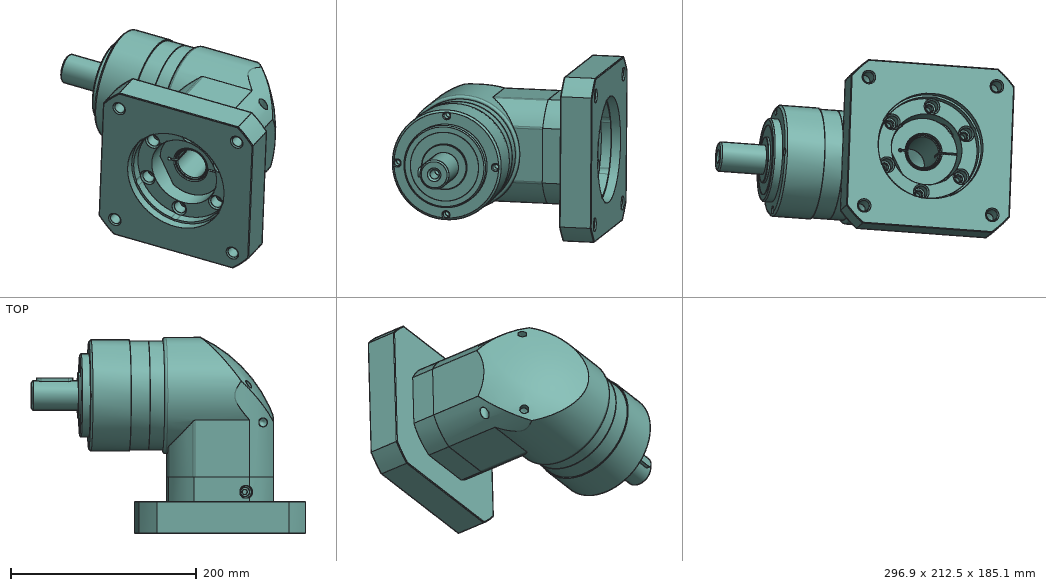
import cadquery as cq
import math

ASSEMBLY_TURN = 2.1
OUTPUT_Y = 149.5
DRILL_POINT_ANGLE = 118

PLATE_HALF = 90.0
PLATE_CORNER_RADIUS = 115.0
PLATE_THICKNESS = 35.0
PLATE_EDGE_CHAMFER = 1.0
NECK_END_Y = 61.5
NECK_HALF = 57.0
NECK_CORNER_RADIUS = 64.5
PILOT_BORE_RADIUS = 58.0
PILOT_BORE_DEPTH = 10.0
RECESS_RADIUS = 55.5
RECESS_DEPTH = 20.8
HUB_BORE_RADIUS = 39.0
MOTOR_HOLE_OFFSET = 70.7
MOTOR_HOLE_RADIUS = 6.0
MOTOR_HOLE_DEPTH = 23.8
MOTOR_HOLE_CHAMFER = 1.5
SCREW_CIRCLE_RADIUS = 47.5
SCREW_COUNT = 6
SCREW_START_ANGLE = 25
SCREW_SEAT_RADIUS = 6.8
SCREW_SEAT_DEPTH = 15.0
SCREW_SEAT_CHAMFER = 1.8
SCREW_HOLE_RADIUS = 3.5
SCREW_HOLE_CHAMFER = 1.2
SCREW_HOLE_DEPTH = 12.0
ACCESS_HOLE_RADIUS = 6.8

HUB_RADIUS = 36.8
HUB_FACE_Y = 37.0
HUB_STEM_RADIUS = 26.7
HUB_STEM_END_Y = 132.2
MOTOR_BORE_RADIUS = 17.0
MOTOR_BORE_DEPTH = 77.2
MOTOR_BORE_CHAMFER = 1.2
MOTOR_LIP_RADIUS = 19.3
MOTOR_LIP_DEPTH = 1.5
MOTOR_LIP_CHAMFER = 1.2
HUB_FLAT_ANGLE = 209
HUB_FLAT_DISTANCE = 32.5
SLIT_WIDTH = 1.8
RELIEF_HOLE_X = -25.8
RELIEF_HOLE_RADIUS = 1.8
CLAMP_X = 26.5
CLAMP_Y = 45.2
CLAMP_HEAD_RADIUS = 5.0
CLAMP_SEAT_Z = 4.5
CLAMP_HEAD_HEIGHT = 6.0
CLAMP_SHANK_RADIUS = 3.0
CLAMP_SHANK_LENGTH = 17.8
CLAMP_SOCKET_WIDTH = 6.0
CLAMP_SOCKET_DEPTH = 4.5

ELBOW_START_X = -77.5
ELBOW_RIM_X = -62.0
ELBOW_RADIUS = 63.0
ELBOW_RIM_FILLET = 3.3
ELBOW_CORNER_FILLET = 4.5
DOME_RADIUS = 154.5
DOME_X = -86.7
DOME_Y = 72.5
DOME_HOLE_X = 29.5
DOME_HOLE_Y = 161.5
SIDE_HOLE_X = 45.2
SIDE_HOLE_Y = 120.3
HOUSING_HOLE_RADIUS = 4.8
HOUSING_HOLE_DEPTH = 12.0

RING_RADIUS = 59.0
RING_EDGE_CHAMFER = 0.3
DRUM_END_X = -98.3
DRUM_RADIUS = 60.3
DRUM_FACE_X = -142.0
DRUM_CHAMFER = 2.5
SPIGOT_RADIUS = 45.2
SPIGOT_FACE_X = -151.8
SPIGOT_CHAMFER = 1.5
SEAL_RADIUS = 37.7
SEAL_RECESS = 0.5
DRUM_HOLE_CIRCLE_RADIUS = 54.5
DRUM_HOLE_COUNT = 4
DRUM_HOLE_RADIUS = 3.3
DRUM_HOLE_CHAMFER = 1.2
DRUM_HOLE_DEPTH = 12.0

SHAFT_END_X = -204.0
SHAFT_RADIUS = 16.0
SHAFT_CHAMFER = 1.8
COLLAR_RADIUS = 25.0
COLLAR_FACE_X = -154.0
COLLAR_CHAMFER = 0.5
SHAFT_SEAT_X = -118.8
CENTRE_HOLE_RADIUS = 5.0
CENTRE_HOLE_CHAMFER = 2.5
CENTRE_HOLE_DEPTH = 26.7
KEY_START_X = -198.7
KEY_LENGTH = 39.5
KEY_WIDTH = 10.0
KEY_HEIGHT = 8.0
KEY_PROTRUSION = 3.0

X_AXIS = cq.Vector(1, 0, 0)
Y_AXIS = cq.Vector(0, 1, 0)
Z_AXIS = cq.Vector(0, 0, 1)


def cylinder(radius, length, start, direction):
    return cq.Workplane(cq.Solid.makeCylinder(radius, length, start, direction))


def input_cylinder(radius, start_y, end_y):
    return cylinder(radius, end_y - start_y, cq.Vector(0, start_y, 0), Y_AXIS)


def output_cylinder(radius, start_x, end_x):
    return cylinder(radius, end_x - start_x, cq.Vector(start_x, OUTPUT_Y, 0), X_AXIS)


def blind_hole(radius, depth, mouth, direction, chamfer=0):
    """Cutter for a drilled hole with a conical bottom and, if asked for, a chamfered mouth."""
    direction = direction.normalized()
    point_height = radius / math.tan(math.radians(DRILL_POINT_ANGLE / 2))
    bottom = mouth + direction * depth
    hole = cylinder(radius, depth, mouth, direction)
    hole = hole.union(cq.Workplane(cq.Solid.makeCone(radius, 0, point_height, bottom, direction)))
    if chamfer > 0:
        mouth_cone = cq.Solid.makeCone(radius + chamfer, radius, chamfer, mouth, direction)
        hole = hole.union(cq.Workplane(mouth_cone))
    return hole


def rounded_square(half, corner_radius, start_y, end_y):
    """Square prism on the input axis, with its corners turned to a cylinder."""
    length = end_y - start_y
    square = cq.Workplane().box(2 * half, length, 2 * half).translate((0, start_y + length / 2, 0))
    return square.intersect(input_cylinder(corner_radius, start_y, end_y))


def polar_point(radius, angle, y):
    """Point at an angle in the plane across the input axis, from +X towards +Z."""
    turn = math.radians(angle)
    return cq.Vector(radius * math.cos(turn), y, radius * math.sin(turn))


def make_adapter():
    plate = rounded_square(PLATE_HALF, PLATE_CORNER_RADIUS, 0, PLATE_THICKNESS)
    plate = plate.faces("<Y or >Y").chamfer(PLATE_EDGE_CHAMFER)
    neck = rounded_square(NECK_HALF, NECK_CORNER_RADIUS, PLATE_THICKNESS, NECK_END_Y)
    adapter = plate.union(neck)
    adapter = adapter.cut(input_cylinder(PILOT_BORE_RADIUS, 0, PILOT_BORE_DEPTH))
    adapter = adapter.cut(input_cylinder(RECESS_RADIUS, 0, RECESS_DEPTH))
    adapter = adapter.cut(input_cylinder(HUB_BORE_RADIUS, 0, NECK_END_Y))

    for x in (-MOTOR_HOLE_OFFSET, MOTOR_HOLE_OFFSET):
        for z in (-MOTOR_HOLE_OFFSET, MOTOR_HOLE_OFFSET):
            mouth = cq.Vector(x, 0, z)
            adapter = adapter.cut(
                blind_hole(MOTOR_HOLE_RADIUS, MOTOR_HOLE_DEPTH, mouth, Y_AXIS, MOTOR_HOLE_CHAMFER)
            )

    for i in range(SCREW_COUNT):
        adapter = adapter.cut(screw_seat(SCREW_START_ANGLE + i * 360 / SCREW_COUNT))

    access_hole = cylinder(ACCESS_HOLE_RADIUS, NECK_HALF, cq.Vector(CLAMP_X, CLAMP_Y, 0), Z_AXIS)
    return adapter.cut(access_hole)


def screw_seat(angle):
    """Cutter for a counterbore in the recess floor, with its blind screw hole."""
    mouth = polar_point(SCREW_CIRCLE_RADIUS, angle, RECESS_DEPTH)
    bottom = mouth + Y_AXIS * SCREW_SEAT_DEPTH
    rim_radius = SCREW_SEAT_RADIUS + SCREW_SEAT_CHAMFER
    rim = cylinder(rim_radius, RECESS_DEPTH - PILOT_BORE_DEPTH, mouth, Y_AXIS * -1)
    rim_cone = cq.Solid.makeCone(rim_radius, SCREW_SEAT_RADIUS, SCREW_SEAT_CHAMFER, mouth, Y_AXIS)
    seat = cylinder(SCREW_SEAT_RADIUS, SCREW_SEAT_DEPTH, mouth, Y_AXIS)
    hole = blind_hole(SCREW_HOLE_RADIUS, SCREW_HOLE_DEPTH, bottom, Y_AXIS, SCREW_HOLE_CHAMFER)
    return seat.union(rim).union(cq.Workplane(rim_cone)).union(hole)


def make_hub():
    head = input_cylinder(HUB_RADIUS, HUB_FACE_Y, NECK_END_Y)
    head_length = NECK_END_Y - HUB_FACE_Y
    head_middle_y = HUB_FACE_Y + head_length / 2
    beyond_flat = (
        cq.Workplane()
        .box(HUB_RADIUS, head_length, 2 * HUB_RADIUS)
        .translate((HUB_FLAT_DISTANCE + HUB_RADIUS / 2, head_middle_y, 0))
        .rotate((0, 0, 0), (0, 1, 0), -HUB_FLAT_ANGLE)
    )
    hub = head.cut(beyond_flat).union(input_cylinder(HUB_STEM_RADIUS, NECK_END_Y, HUB_STEM_END_Y))

    face_centre = cq.Vector(0, HUB_FACE_Y, 0)
    bore_mouth = face_centre + Y_AXIS * MOTOR_LIP_DEPTH
    bore = blind_hole(MOTOR_BORE_RADIUS, MOTOR_BORE_DEPTH, bore_mouth, Y_AXIS, MOTOR_BORE_CHAMFER)
    lip = cylinder(MOTOR_LIP_RADIUS, MOTOR_LIP_DEPTH, face_centre, Y_AXIS)
    lip_cone = cq.Solid.makeCone(
        MOTOR_LIP_RADIUS + MOTOR_LIP_CHAMFER,
        MOTOR_LIP_RADIUS,
        MOTOR_LIP_CHAMFER,
        face_centre,
        Y_AXIS,
    )
    hub = hub.cut(bore).cut(lip).cut(cq.Workplane(lip_cone))

    slit_length = HUB_RADIUS - RELIEF_HOLE_X
    slit = (
        cq.Workplane()
        .box(slit_length, head_length, SLIT_WIDTH)
        .translate((RELIEF_HOLE_X + slit_length / 2, head_middle_y, 0))
    )
    relief_start = cq.Vector(RELIEF_HOLE_X, HUB_FACE_Y, 0)
    hub = hub.cut(slit).cut(cylinder(RELIEF_HOLE_RADIUS, head_length, relief_start, Y_AXIS))

    seat = cq.Vector(CLAMP_X, CLAMP_Y, CLAMP_SEAT_Z)
    hub = hub.cut(cylinder(CLAMP_HEAD_RADIUS, HUB_RADIUS, seat, Z_AXIS))
    return hub.cut(cylinder(CLAMP_SHANK_RADIUS, CLAMP_SHANK_LENGTH, seat, Z_AXIS * -1))


def make_clamp_screw():
    seat = cq.Vector(CLAMP_X, CLAMP_Y, CLAMP_SEAT_Z)
    head = cylinder(CLAMP_HEAD_RADIUS, CLAMP_HEAD_HEIGHT, seat, Z_AXIS)
    shank = cylinder(CLAMP_SHANK_RADIUS, CLAMP_SHANK_LENGTH, seat, Z_AXIS * -1)
    socket = (
        cq.Workplane(origin=seat + Z_AXIS * CLAMP_HEAD_HEIGHT)
        .polygon(6, CLAMP_SOCKET_WIDTH)
        .extrude(-CLAMP_SOCKET_DEPTH)
    )
    return head.union(shank).cut(socket)


def make_elbow():
    output_tube = output_cylinder(ELBOW_RADIUS, ELBOW_RIM_X, NECK_HALF)
    output_tube = output_tube.faces("<X").edges().fillet(ELBOW_RIM_FILLET)
    leg_length = OUTPUT_Y - NECK_END_Y
    near_leg = rounded_square(NECK_HALF, NECK_CORNER_RADIUS, NECK_END_Y, OUTPUT_Y)
    near_leg = near_leg.edges("|Y").fillet(ELBOW_CORNER_FILLET)
    far_leg = (
        cq.Workplane()
        .box(NECK_HALF, leg_length, 2 * NECK_HALF)
        .translate((NECK_HALF / 2, NECK_END_Y + leg_length / 2, 0))
    )
    corner_post = input_cylinder(NECK_CORNER_RADIUS, NECK_END_Y, OUTPUT_Y + ELBOW_RADIUS)
    near_tube = output_tube.intersect(output_cylinder(2 * ELBOW_RADIUS, ELBOW_RIM_X, 0))
    elbow = output_tube.union(far_leg).intersect(corner_post.union(near_tube)).union(near_leg)

    elbow = elbow.union(output_cylinder(RING_RADIUS, ELBOW_START_X, ELBOW_RIM_X))
    dome = cq.Workplane().sphere(DOME_RADIUS).translate((DOME_X, DOME_Y, 0))
    elbow = elbow.intersect(dome)
    elbow = elbow.cut(input_cylinder(HUB_STEM_RADIUS, NECK_END_Y, HUB_STEM_END_Y))
    for side in (-1, 1):
        elbow = elbow.cut(dome_hole(side)).cut(side_hole(side))
    return elbow


def dome_hole(side):
    """Cutter for a blind hole square to the domed back, on the +Z (1) or -Z (-1) side."""
    out_x = DOME_HOLE_X - DOME_X
    out_y = DOME_HOLE_Y - DOME_Y
    out_z = side * math.sqrt(DOME_RADIUS**2 - out_x**2 - out_y**2)
    mouth = cq.Vector(DOME_HOLE_X, DOME_HOLE_Y, out_z)
    inward = cq.Vector(-out_x, -out_y, -out_z)
    return blind_hole(HOUSING_HOLE_RADIUS, HOUSING_HOLE_DEPTH, mouth, inward)


def side_hole(side):
    """Cutter for a blind hole along Z into the rounded corner of the input leg."""
    surface_z = math.sqrt(NECK_CORNER_RADIUS**2 - SIDE_HOLE_X**2)
    start_z = surface_z + HOUSING_HOLE_RADIUS
    mouth = cq.Vector(SIDE_HOLE_X, SIDE_HOLE_Y, side * start_z)
    return blind_hole(
        HOUSING_HOLE_RADIUS, HOUSING_HOLE_DEPTH + HOUSING_HOLE_RADIUS, mouth, Z_AXIS * -side
    )


def make_ring_gear():
    return output_cylinder(RING_RADIUS, DRUM_END_X, ELBOW_START_X).edges().chamfer(RING_EDGE_CHAMFER)


def make_drum():
    drum = output_cylinder(DRUM_RADIUS, DRUM_FACE_X, DRUM_END_X)
    drum = drum.faces("<X").chamfer(DRUM_CHAMFER)
    spigot = output_cylinder(SPIGOT_RADIUS, SPIGOT_FACE_X, DRUM_FACE_X)
    spigot = spigot.faces("<X").chamfer(SPIGOT_CHAMFER)
    drum = drum.union(spigot)
    drum = drum.cut(output_cylinder(SEAL_RADIUS, SPIGOT_FACE_X, SPIGOT_FACE_X + SEAL_RECESS))
    drum = drum.cut(output_cylinder(COLLAR_RADIUS, SPIGOT_FACE_X, SHAFT_SEAT_X))

    for i in range(DRUM_HOLE_COUNT):
        turn = 2 * math.pi * i / DRUM_HOLE_COUNT
        mouth = cq.Vector(
            DRUM_FACE_X,
            OUTPUT_Y + DRUM_HOLE_CIRCLE_RADIUS * math.cos(turn),
            DRUM_HOLE_CIRCLE_RADIUS * math.sin(turn),
        )
        drum = drum.cut(
            blind_hole(DRUM_HOLE_RADIUS, DRUM_HOLE_DEPTH, mouth, X_AXIS, DRUM_HOLE_CHAMFER)
        )
    return drum


def make_shaft(key):
    journal = output_cylinder(SHAFT_RADIUS, SHAFT_END_X, COLLAR_FACE_X)
    journal = journal.faces("<X").chamfer(SHAFT_CHAMFER)
    collar = output_cylinder(COLLAR_RADIUS, COLLAR_FACE_X, SHAFT_SEAT_X)
    collar = collar.faces("<X").chamfer(COLLAR_CHAMFER)
    end_centre = cq.Vector(SHAFT_END_X, OUTPUT_Y, 0)
    centre_hole = blind_hole(
        CENTRE_HOLE_RADIUS, CENTRE_HOLE_DEPTH, end_centre, X_AXIS, CENTRE_HOLE_CHAMFER
    )
    return journal.union(collar).cut(centre_hole).cut(key)


def make_key():
    top_y = OUTPUT_Y + SHAFT_RADIUS + KEY_PROTRUSION
    middle_x = KEY_START_X + KEY_LENGTH / 2
    return (
        cq.Workplane("XZ", origin=(middle_x, top_y, 0))
        .slot2D(KEY_LENGTH, KEY_WIDTH)
        .extrude(KEY_HEIGHT)
    )


adapter = make_adapter()
hub = make_hub()
clamp_screw = make_clamp_screw()
elbow = make_elbow()
ring_gear = make_ring_gear()
drum = make_drum()
key = make_key()
shaft = make_shaft(key)

bodies = [adapter, hub, clamp_screw, elbow, ring_gear, drum, key, shaft]
result = cq.Compound.makeCompound(
    [body.rotate((0, 0, 0), (0, 1, 0), ASSEMBLY_TURN).val() for body in bodies]
)